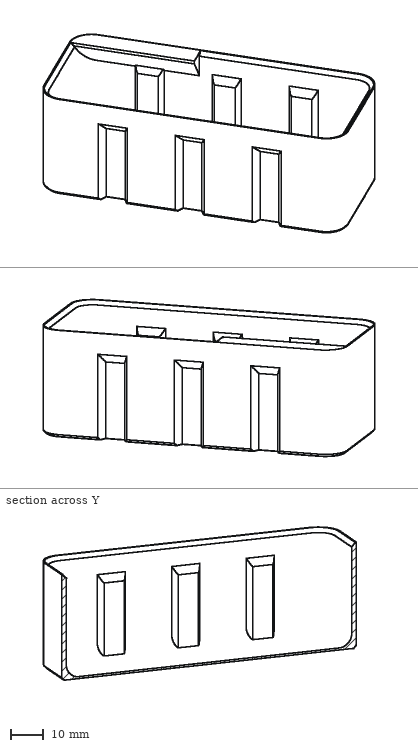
import cadquery as cq
import math

LENGTH = 97.0
WIDTH = 41.2
HEIGHT = 33.7
CORNER_RADIUS = 7.0
BOTTOM_CHAMFER = 0.9

WALL = 1.6
FLOOR = 0.8
FLOOR_FILLET = 4.0
RIM_WIDTH = 0.35
RIM_BEVEL_HEIGHT = 1.3

SHELF_LENGTH = 39.8
SHELF_DEPTH = 7.0
SHELF_EDGE = 1.0
SHELF_UNDERSIDE_ANGLE = 53.0

GROOVE_COUNT = 3
GROOVE_PITCH = 24.5
GROOVE_TOP = HEIGHT - 6.6
GROOVE_WIDTH = 9.2
GROOVE_FLOOR_WIDTH = 6.0
GROOVE_DEPTH = 3.0

RIB_WIDTH = 9.25
RIB_SHOULDER_WIDTH = 7.45
RIB_FACE_WIDTH = 6.6
RIB_SHOULDER = 1.7
RIB_PROJECTION = 2.2
RIB_TOP = GROOVE_TOP - 0.5

OUTER_Y = -WIDTH / 2
INNER_Y = OUTER_Y + WALL


def rounded_block(inset, bottom, top):
    """Upright block with rounded corners, offset inwards from the outer wall."""
    return (
        cq.Workplane("XY", origin=(0, 0, bottom))
        .rect(LENGTH - 2 * inset, WIDTH - 2 * inset)
        .extrude(top - bottom)
        .edges("|Z")
        .fillet(CORNER_RADIUS - inset)
    )


def tapered_bar(base_y, bottom, top, sections):
    """Upright bar growing towards +Y from base_y, with its top end sloping down at 45 degrees.

    Sections are (projection, width) pairs from the base to the face of the bar.
    """
    right_side = [(width / 2, projection) for projection, width in sections]
    left_side = [(-x, y) for x, y in reversed(right_side)]
    plan = (
        cq.Workplane("XY", origin=(0, base_y, bottom))
        .polyline(right_side + left_side)
        .close()
        .extrude(top - bottom)
    )
    base_width = sections[0][1]
    depth = sections[-1][0]
    side = (
        cq.Workplane("YZ", origin=(0, base_y, 0))
        .moveTo(0, bottom)
        .lineTo(0, top)
        .lineTo(depth, top - depth)
        .lineTo(depth, bottom)
        .close()
        .extrude(base_width / 2, both=True)
    )
    return plan.intersect(side)


def make_cavity():
    """Inside of the bin: filleted floor, and a bevel that thins the wall at the rim."""
    cavity = rounded_block(WALL, FLOOR, HEIGHT).faces("<Z").edges().fillet(FLOOR_FILLET)
    bevel_bottom = rounded_block(WALL, HEIGHT - RIM_BEVEL_HEIGHT, HEIGHT).faces("<Z").wires().val()
    bevel_top = rounded_block(RIM_WIDTH, 0, HEIGHT).faces(">Z").wires().val()
    bevel = cq.Workplane(cq.Solid.makeLoft([bevel_bottom, bevel_top], True))
    return cavity.union(bevel)


def make_shelf():
    """Flat label shelf flush with the rim, carried by a steep underside."""
    back = WIDTH / 2
    front = back - SHELF_DEPTH
    underside_drop = SHELF_DEPTH * math.tan(math.radians(SHELF_UNDERSIDE_ANGLE))
    return (
        cq.Workplane("YZ", origin=(-LENGTH / 2, 0, 0))
        .moveTo(back, HEIGHT)
        .lineTo(front, HEIGHT)
        .lineTo(front, HEIGHT - SHELF_EDGE)
        .lineTo(back, HEIGHT - SHELF_EDGE - underside_drop)
        .close()
        .extrude(SHELF_LENGTH)
        .intersect(rounded_block(0, 0, HEIGHT))
    )


def make_rib():
    sections = [(0, RIB_WIDTH), (RIB_SHOULDER, RIB_SHOULDER_WIDTH), (RIB_PROJECTION, RIB_FACE_WIDTH)]
    return tapered_bar(INNER_Y, FLOOR, RIB_TOP, sections)


def make_groove():
    sections = [(0, GROOVE_WIDTH), (GROOVE_DEPTH, GROOVE_FLOOR_WIDTH)]
    return tapered_bar(OUTER_Y, 0, GROOVE_TOP, sections)


def make_bin():
    outer = rounded_block(0, 0, HEIGHT).faces("<Z").chamfer(BOTTOM_CHAMFER)
    body = outer.cut(make_cavity()).union(make_shelf())
    for index in range(GROOVE_COUNT):
        x = (index - (GROOVE_COUNT - 1) / 2) * GROOVE_PITCH
        rib = make_rib().translate((x, 0, 0))
        groove = make_groove().translate((x, 0, 0))
        body = body.union(rib).union(rib.mirror("XZ"))
        body = body.cut(groove).cut(groove.mirror("XZ"))
    return body


result = make_bin()